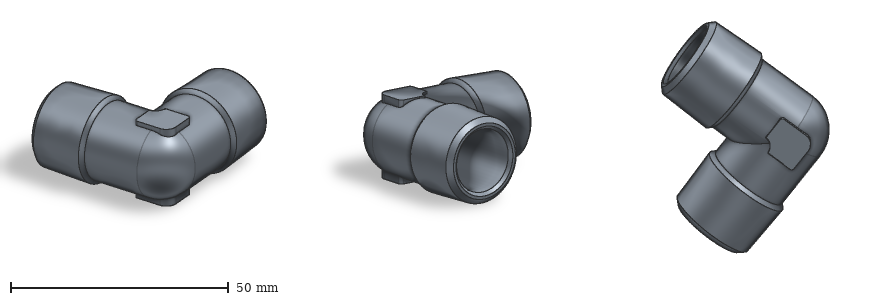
import cadquery as cq

overall_length = 40.15
thread_large_diameter = 21.32
pipe_diameter = 19.3
bore_diameter = 15.0

end_length = 14.98
shoulder_chamfer = (thread_large_diameter - pipe_diameter) / 2
tip_chamfer_length = 1.25
tip_diameter = 18.0
thread_taper = 1 / 16
mouth_chamfer = 0.75

pad_left = -4.55
pad_right = 5.15
pad_front = -3.9
pad_back = 4.8
pad_height = 10.0
pad_notch_radius = 2.6
pad_outer_radius = 2.65
pad_corner_radius = 0.75

arm_length = overall_length - thread_large_diameter / 2
pipe_radius = pipe_diameter / 2
bore_radius = bore_diameter / 2
thread_large_radius = thread_large_diameter / 2
thread_large_end = arm_length - end_length + shoulder_chamfer
thread_small_end = arm_length - tip_chamfer_length
thread_small_radius = thread_large_radius - thread_taper * (thread_small_end - thread_large_end) / 2


def revolve_about_y(profile):
    """Revolve (radius, distance along Y) points into a solid."""
    return cq.Workplane("XY").polyline(profile).close().revolve(360, (0, 0, 0), (0, 1, 0))


def both_arms(arm):
    """Join the +Y arm with its copy turned onto -X."""
    return arm.union(arm.rotate((0, 0, 0), (0, 0, 1), 90))


def outer_body():
    arm = revolve_about_y([
        (0, 0),
        (pipe_radius, 0),
        (pipe_radius, arm_length - end_length),
        (thread_large_radius, thread_large_end),
        (thread_small_radius, thread_small_end),
        (tip_diameter / 2, arm_length),
        (0, arm_length),
    ])
    return both_arms(arm).union(cq.Workplane("XY").sphere(pipe_radius))


def passage():
    arm = revolve_about_y([
        (0, 0),
        (bore_radius, 0),
        (bore_radius, arm_length - mouth_chamfer),
        (bore_radius + mouth_chamfer, arm_length),
        (0, arm_length),
    ])
    return both_arms(arm).union(cq.Workplane("XY").sphere(bore_radius))


def pads():
    """One block through the bend; its two ends form the pads."""
    width = pad_right - pad_left
    depth = pad_back - pad_front
    block = (
        cq.Workplane("XY")
        .box(width, depth, 2 * pad_height)
        .translate(((pad_left + pad_right) / 2, (pad_front + pad_back) / 2, 0))
    )
    block = block.edges("|Z and >X and <Y").fillet(pad_outer_radius)
    block = block.edges("|Z and ((<X and <Y) or (>X and >Y))").fillet(pad_corner_radius)
    notch = (
        cq.Workplane("XY")
        .center(pad_left, pad_back)
        .circle(pad_notch_radius)
        .extrude(pad_height, both=True)
    )
    return block.cut(notch)


result = outer_body().union(pads()).cut(passage())